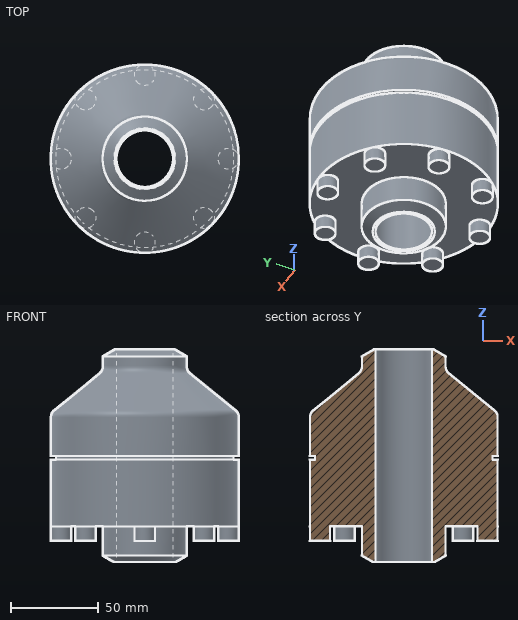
import cadquery as cq
import math

height = 122.0
bore_radius = 32.3 / 2

body_radius = 108.0 / 2
groove_radius = 102.0 / 2
neck_radius = 48.3 / 2

body_bottom = 20.5
groove_bottom = 58.8
groove_top = 60.8
shoulder_bottom = 83.1
neck_bottom = 112.1

blend_radius = 5.0

chamfer_angle = math.radians(60)
top_chamfer_height = 4.0
bottom_chamfer_height = 3.7

pin_count = 8
pin_diameter = 12.0
pin_length = 8.3
pin_circle_radius = body_radius - pin_diameter / 2


def end_face_radius(chamfer_height):
    """Outer radius left on an end face after its chamfer."""
    return neck_radius - chamfer_height * math.tan(chamfer_angle)


def cone_lean():
    """Angle from vertical of the line tangent to both blend arcs.

    The arcs curve in opposite senses, so the line crosses between their centres.
    """
    run = (body_radius - blend_radius) - (neck_radius + blend_radius)
    rise = neck_bottom - shoulder_bottom
    return math.atan2(run, rise) + math.asin(2 * blend_radius / math.hypot(run, rise))


def shoulder_point(angle):
    """Point on the convex shoulder arc, turned up from its lower end."""
    return (
        body_radius - blend_radius * (1 - math.cos(angle)),
        shoulder_bottom + blend_radius * math.sin(angle),
    )


def neck_blend_point(angle):
    """Point on the concave neck arc, turned down from its upper end."""
    return (
        neck_radius + blend_radius * (1 - math.cos(angle)),
        neck_bottom - blend_radius * math.sin(angle),
    )


def make_turned_body():
    """Revolve the half section, bore included, about the Z axis."""
    lean = cone_lean()
    section = (
        cq.Workplane("XZ")
        .moveTo(bore_radius, 0)
        .lineTo(end_face_radius(bottom_chamfer_height), 0)
        .lineTo(neck_radius, bottom_chamfer_height)
        .lineTo(neck_radius, body_bottom)
        .lineTo(body_radius, body_bottom)
        .lineTo(body_radius, groove_bottom)
        .lineTo(groove_radius, groove_bottom)
        .lineTo(groove_radius, groove_top)
        .lineTo(body_radius, groove_top)
        .lineTo(body_radius, shoulder_bottom)
        .threePointArc(shoulder_point(lean / 2), shoulder_point(lean))
        .lineTo(*neck_blend_point(lean))
        .threePointArc(neck_blend_point(lean / 2), (neck_radius, neck_bottom))
        .lineTo(neck_radius, height - top_chamfer_height)
        .lineTo(end_face_radius(top_chamfer_height), height)
        .lineTo(bore_radius, height)
        .close()
    )
    return section.revolve(360, (0, 0, 0), (0, 1, 0))


def make_pins():
    """Ring of pins standing between their free ends and the underside of the body."""
    return (
        cq.Workplane("XY")
        .workplane(offset=body_bottom - pin_length)
        .polarArray(pin_circle_radius, 0, 360, pin_count)
        .circle(pin_diameter / 2)
        .extrude(pin_length)
    )


result = make_turned_body().union(make_pins())